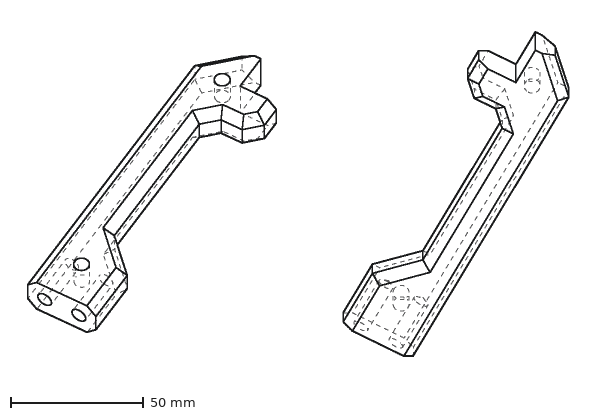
import cadquery as cq
import math

length = 136.7
width = 37.5
thickness = 16.0
edge_chamfer = 4.0

foot_width = 30.0
foot_side = 23.2
grip_width = 16.0
foot_slope = foot_width - grip_width
tip_width = 21.5
tip_corner = 13.0
notch_depth = 15.5
hook_drop = 30.5
hook_top = length - notch_depth
hook_bottom = length - hook_drop
hook_corner = 6.2
hook_root = 6.0

hole_diameter = 6.0
face_hole_depth = 10.0
end_hole_depth = 20.0
drill_angle = 118
face_hole_x = 14.1
face_hole_inset = 16.3
end_hole_spacing = 15.0


def make_body():
    """Extrude the handle outline through its thickness."""
    outline = [
        (0, 0),
        (foot_width, 0),
        (foot_width, foot_side),
        (grip_width, foot_side + foot_slope),
        (grip_width, hook_bottom - hook_root),
        (grip_width + hook_root, hook_bottom),
        (width - hook_corner, hook_bottom),
        (width, hook_bottom + hook_corner),
        (width, hook_top),
        (tip_width, hook_top),
        (tip_width, length),
        (tip_corner, length),
        (0, length - tip_corner),
    ]
    return cq.Workplane("XY").polyline(outline).close().extrude(thickness)


def is_beveled(edge):
    """The end faces and the notch between tip and hook keep sharp edges."""
    tolerance = 0.01
    box = edge.BoundingBox()
    on_flat_end = any(
        abs(box.ymin - y) < tolerance and abs(box.ymax - y) < tolerance
        for y in (0, hook_top, length)
    )
    on_notch_side = abs(box.xmin - tip_width) < tolerance and abs(box.xmax - tip_width) < tolerance
    return not (on_flat_end or on_notch_side)


def bevel_long_edges(body):
    """Chamfer the gripped edges of the upper and lower faces."""
    edges = body.faces("|Z").edges().vals()
    return body.newObject([edge for edge in edges if is_beveled(edge)]).chamfer(edge_chamfer)


def blind_hole(start, direction, depth):
    """Drill tool: a cylinder to the given depth followed by its conical point."""
    radius = hole_diameter / 2
    point_depth = radius / math.tan(math.radians(drill_angle / 2))
    profile = [(0, 0), (radius, 0), (radius, depth), (0, depth + point_depth)]
    across = cq.Vector(1, 0, 0)
    plane = cq.Plane(origin=start, xDir=across, normal=across.cross(cq.Vector(direction)))
    return cq.Workplane(plane).polyline(profile).close().revolve(360, (0, 0), (0, 1))


result = bevel_long_edges(make_body())

for hole_y in (face_hole_inset, length - face_hole_inset):
    result = result.cut(blind_hole((face_hole_x, hole_y, thickness), (0, 0, -1), face_hole_depth))

for side in (-1, 1):
    hole_x = foot_width / 2 + side * end_hole_spacing / 2
    result = result.cut(blind_hole((hole_x, 0, thickness / 2), (0, 1, 0), end_hole_depth))